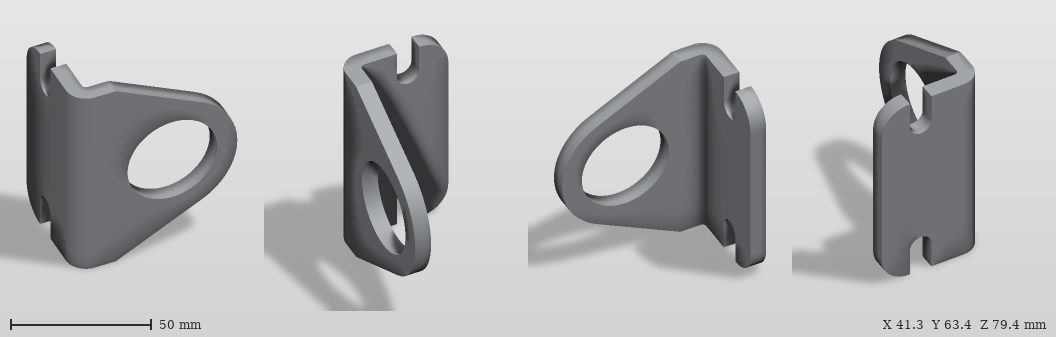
import cadquery as cq
import math

width = 41.3
depth = 63.4
height = 79.4

thickness = 6.3
inner_bend_radius = 1.5
outer_bend_radius = inner_bend_radius + thickness

corner_radius = 11.1
slot_width = 8.7
slot_depth = 15.5
slot_x = 15.9

lug_radius = 25.4
hole_radius = 17.5
shoulder_y = 15.95
half_height = height / 2
lug_center_y = depth - lug_radius


def bent_sheet():
    """L-shaped section extruded along Z, rounded inside and outside the bend."""
    section = (
        cq.Workplane("XY")
        .polyline([
            (0, 0),
            (width, 0),
            (width, depth),
            (width - thickness, depth),
            (width - thickness, thickness),
            (0, thickness),
        ])
        .close()
        .extrude(height)
    )
    inner_edge = cq.selectors.NearestToPointSelector((width - thickness, thickness, half_height))
    outer_edge = cq.selectors.NearestToPointSelector((width, 0, half_height))
    section = section.edges("|Z").edges(inner_edge).fillet(inner_bend_radius)
    return section.edges("|Z").edges(outer_edge).fillet(outer_bend_radius)


def lug_profile():
    """Outline in YZ: straight base, then sides running tangent to the round end."""
    shoulder_to_center = lug_center_y - shoulder_y
    center_distance = math.hypot(shoulder_to_center, half_height)
    side_angle = math.atan2(half_height, shoulder_to_center) - math.asin(lug_radius / center_distance)
    tangent_y = lug_center_y + lug_radius * math.sin(side_angle)
    tangent_offset = lug_radius * math.cos(side_angle)
    return (
        cq.Workplane("YZ")
        .moveTo(0, 0)
        .lineTo(shoulder_y, 0)
        .lineTo(tangent_y, half_height - tangent_offset)
        .threePointArc((depth, half_height), (tangent_y, half_height + tangent_offset))
        .lineTo(shoulder_y, height)
        .lineTo(0, height)
        .close()
        .extrude(width)
    )


def lug_hole():
    return cq.Workplane("YZ").center(lug_center_y, half_height).circle(hole_radius).extrude(width)


def end_slot(end_z, inward):
    """Round-bottomed slot through the plate, open at end_z; inward is +1 or -1 along Z."""
    slot_radius = slot_width / 2
    round_center_z = end_z + inward * (slot_depth - slot_radius)
    return (
        cq.Workplane("XZ")
        .moveTo(slot_x - slot_radius, end_z)
        .lineTo(slot_x - slot_radius, round_center_z)
        .threePointArc((slot_x, end_z + inward * slot_depth), (slot_x + slot_radius, round_center_z))
        .lineTo(slot_x + slot_radius, end_z)
        .close()
        .extrude(-thickness)
    )


result = bent_sheet().intersect(lug_profile())
result = result.edges("|Y and <X").fillet(corner_radius)
result = result.cut(lug_hole())
for end_z, inward in [(0, 1), (height, -1)]:
    result = result.cut(end_slot(end_z, inward))